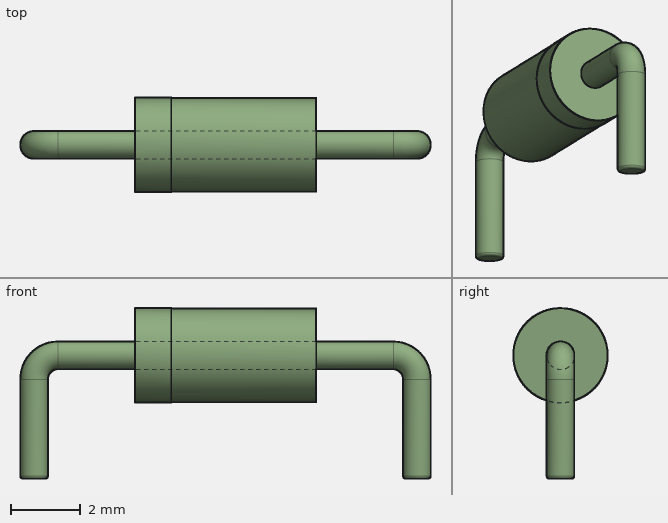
import cadquery as cq


overall_length = 11.8
overall_height = 4.91
lead_diameter = 0.8
bend_radius = 0.68
tip_fillet = 0.08
body_diameter = 2.7
body_length = 5.2
band_diameter = 2.73
band_width = 1.04
band_setback = 0.01

lead_x = (overall_length - lead_diameter) / 2
tip_z = band_diameter / 2 - overall_height
body_start_x = -body_length / 2
band_start_x = body_start_x + band_setback


def x_cylinder(diameter, start_x, length):
    """Cylinder centred on the X axis that runs from start_x toward +X."""
    return cq.Workplane("YZ", origin=(start_x, 0, 0)).circle(diameter / 2).extrude(length)


def make_lead():
    """One round wire through the body, bent down at both ends."""
    path = (
        cq.Workplane("XZ")
        .moveTo(-lead_x, tip_z)
        .lineTo(-lead_x, -bend_radius)
        .radiusArc((-lead_x + bend_radius, 0), bend_radius)
        .lineTo(lead_x - bend_radius, 0)
        .radiusArc((lead_x, -bend_radius), bend_radius)
        .lineTo(lead_x, tip_z)
    )
    wire = cq.Workplane("XY", origin=(-lead_x, 0, tip_z)).circle(lead_diameter / 2).sweep(path)
    return wire.faces("<Z").edges().fillet(tip_fillet)


def make_body():
    """Cylindrical body with a bore for the lead."""
    body = x_cylinder(body_diameter, body_start_x, body_length)
    bore = x_cylinder(lead_diameter, body_start_x, body_length)
    return body.cut(bore)


def make_band():
    """Thin marking ring around the body, just inside its -X end."""
    band = x_cylinder(band_diameter, band_start_x, band_width)
    body_hole = x_cylinder(body_diameter, band_start_x, band_width)
    return band.cut(body_hole)


lead = make_lead()
body = make_body()
band = make_band()

result = cq.Compound.makeCompound([body.val(), band.val(), lead.val()])